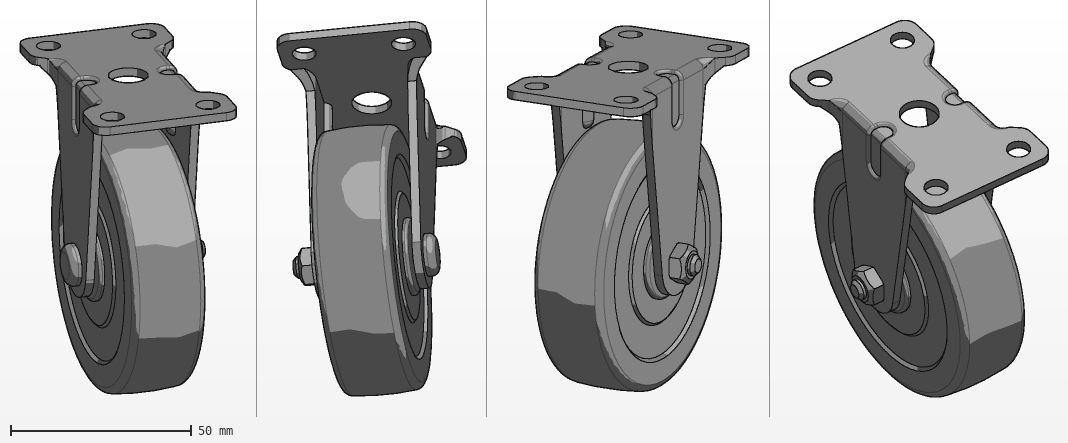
import cadquery as cq
import math


CLEAR = 0.9
RIM_GAP = 0.1

SHEET = 2.5
PLATE_LENGTH = 70.4
PLATE_WIDTH = 41.95
PLATE_CORNER_RADIUS = 4.0
HOLE_SPACING_X = 56.0
HOLE_SPACING_Y = 28.0
MOUNT_HOLE_DIAMETER = 6.6
CENTRE_HOLE_DIAMETER = 11
FORK_WIDTH = 30.9
BEND_LENGTH = 30.3
BEND_FADE_END = 0.02
BEND_FADE_STEPS = 5
WAIST_ANGLE = 50
WAIST_RADIUS = 5.0
LEG_END_RADIUS = 9.2
SHOULDER_HALF_WIDTH = 16.5
SHOULDER_DROP = 7.4
FLARE_HALF_WIDTH = 20.6

BEAD_DEPTH = 1.0
BEAD_RADIUS = 2.7
BEAD_RIM_RADIUS = 0.9
BEAD_LEG_CENTRE = 12.4
BEAD_PLATE_CENTRE = 3.3
RIB_HEIGHT = 1.8
RIB_RADIUS = 2.6
RIB_CENTRE = 17.0

TOTAL_HEIGHT = 92
WHEEL_DIAMETER = 75.0
TREAD_WIDTH = 21.3
CROWN_DROP = 0.7
TREAD_EDGE_RADIUS = 2.0
RECESS_RADIUS = 28.6
RECESS_DEPTH = 0.9
HUB_RADIUS = 18.4
HUB_RISE = 0.7
BOSS_RADIUS = 10.9
BOSS_WIDTH = 24.0
BOSS_EDGE_RADIUS = 0.8

SHANK_DIAMETER = 6.6
HEAD_DIAMETER = 12
HEAD_HEIGHT = 3.1
HEAD_EDGE_RADIUS = 2.1
NUT_FLATS = 10.1
NUT_HEIGHT = 4.6
NUT_TOP_RADIUS = 4.0
NUT_TOP_CHAMFER = 1.3
NUT_BASE_CHAMFER = 0.3
THREAD_DIAMETER = 6.1
THREAD_CHAMFER = 1.0
AXLE_END = 21.9

WHEEL_RADIUS = WHEEL_DIAMETER / 2
AXLE_Z = WHEEL_RADIUS - TOTAL_HEIGHT
FORK_FACE = FORK_WIDTH / 2
FORK_INNER_FACE = FORK_FACE - SHEET
BEND_END = BEND_LENGTH / 2
BEND_RADIUS = SHEET


def axial_cylinder(diameter, start, end):
    """Cylinder on the wheel axis between two Y positions."""
    return cq.Workplane("XZ", origin=(0, end, AXLE_Z)).circle(diameter / 2).extrude(end - start)


def revolved(outline):
    """Turn an outline of (radius, Y) coordinates about the wheel axis."""
    return outline.close().revolve(360, (0, 0, 0), (0, 1, 0)).translate((0, 0, AXLE_Z))


def plate_blank(thickness):
    """Waisted plate outline with rounded corners, extruded down from Z = 0."""
    half_length = PLATE_LENGTH / 2
    half_width = PLATE_WIDTH / 2
    waist_x = BEND_END + WAIST_RADIUS * math.tan(math.radians(WAIST_ANGLE / 2))
    flap_x = waist_x + (half_width - FORK_FACE) / math.tan(math.radians(WAIST_ANGLE))
    upper_right = [(waist_x, FORK_FACE), (flap_x, half_width), (half_length, half_width)]
    upper_left = [(-x, y) for x, y in upper_right[::-1]]
    upper = upper_left + upper_right
    outline = upper + [(x, -y) for x, y in upper[::-1]]
    blank = cq.Workplane("XY").polyline(outline).close().extrude(-thickness)

    upright = cq.selectors.ParallelDirSelector(cq.Vector(0, 0, 1))
    waist_zone = cq.selectors.BoxSelector(
        (-waist_x - CLEAR, -FORK_FACE - CLEAR, -thickness),
        (waist_x + CLEAR, FORK_FACE + CLEAR, 0),
    )
    blank = blank.edges(upright - waist_zone).fillet(PLATE_CORNER_RADIUS)
    return blank.edges(upright & waist_zone).fillet(WAIST_RADIUS)


def legs():
    """Two tapered legs that hang from the waist of the plate and flare out along its edge."""
    leg_height = LEG_END_RADIUS - AXLE_Z
    blank = plate_blank(leg_height)
    core = blank.faces(">Z").wires().toPending().offset2D(-SHEET).extrude(-leg_height, combine=False)
    skirt = blank.cut(core)

    shoulder_rise = -SHOULDER_DROP - AXLE_Z
    tangent_angle = math.atan2(shoulder_rise, SHOULDER_HALF_WIDTH) - math.acos(
        LEG_END_RADIUS / math.hypot(SHOULDER_HALF_WIDTH, shoulder_rise)
    )
    tangent_x = LEG_END_RADIUS * math.cos(tangent_angle)
    tangent_z = AXLE_Z + LEG_END_RADIUS * math.sin(tangent_angle)
    profile = (
        cq.Workplane("XZ", origin=(0, PLATE_WIDTH / 2, 0))
        .moveTo(-FLARE_HALF_WIDTH, 0)
        .lineTo(-FLARE_HALF_WIDTH, -SHEET)
        .lineTo(-SHOULDER_HALF_WIDTH, -SHOULDER_DROP)
        .lineTo(-tangent_x, tangent_z)
        .threePointArc((0, AXLE_Z - LEG_END_RADIUS), (tangent_x, tangent_z))
        .lineTo(SHOULDER_HALF_WIDTH, -SHOULDER_DROP)
        .lineTo(FLARE_HALF_WIDTH, -SHEET)
        .lineTo(FLARE_HALF_WIDTH, 0)
        .close()
        .extrude(PLATE_WIDTH)
    )
    return skirt.intersect(profile)


def bend_section(plane, radius):
    """Outline of the waste outside a rounded corner; local X points outward and local Y up."""
    middle = radius * (1 - math.sqrt(0.5))
    return (
        cq.Workplane(plane)
        .moveTo(-radius, 0)
        .threePointArc((-middle, -middle), (0, -radius))
        .lineTo(CLEAR, -radius)
        .lineTo(CLEAR, CLEAR)
        .lineTo(-radius, CLEAR)
        .close()
    )


def straight_bend_waste():
    """Waste that rounds the +Y bend along the straight waist."""
    start = cq.Plane((-BEND_END, FORK_FACE, 0), xDir=(0, 1, 0), normal=(1, 0, 0))
    return bend_section(start, BEND_RADIUS).extrude(BEND_LENGTH)


def corner_bend_waste():
    """Waste that continues the +Y bend around the +X waist corner and fades out there."""
    last_angle = math.radians(WAIST_ANGLE)
    wires = []
    for step in range(BEND_FADE_STEPS + 1):
        share = step / BEND_FADE_STEPS
        angle = last_angle * share
        fade = max(math.cos(math.pi / 2 * share), BEND_FADE_END)
        inward = (math.sin(angle), -math.cos(angle))
        origin = (BEND_END + WAIST_RADIUS * inward[0], FORK_FACE + WAIST_RADIUS * (1 + inward[1]), 0)
        along = (math.cos(angle), math.sin(angle), 0)
        plane = cq.Plane(origin, xDir=(-inward[0], -inward[1], 0), normal=along)
        wires.append(bend_section(plane, BEND_RADIUS * fade).wires().val())
    return cq.Workplane(cq.Solid.makeLoft(wires))


def bead_groove():
    """Groove pressed into the outside of the +Y bend, at an even depth below plate and leg."""
    plate_end = FORK_FACE - BEAD_PLATE_CENTRE
    leg_floor = FORK_FACE - BEAD_DEPTH
    outside = FORK_FACE + CLEAR
    bend_centre = FORK_FACE - BEND_RADIUS
    middle = (BEND_RADIUS - BEAD_DEPTH) * math.sqrt(0.5)
    groove = (
        cq.Workplane("YZ", origin=(-BEAD_RADIUS, 0, 0))
        .moveTo(plate_end, -BEAD_DEPTH)
        .lineTo(bend_centre, -BEAD_DEPTH)
        .threePointArc((bend_centre + middle, middle - BEND_RADIUS), (leg_floor, -BEND_RADIUS))
        .lineTo(leg_floor, -BEAD_LEG_CENTRE)
        .lineTo(outside, -BEAD_LEG_CENTRE)
        .lineTo(outside, CLEAR)
        .lineTo(plate_end, CLEAR)
        .close()
        .extrude(2 * BEAD_RADIUS)
    )
    end_depth = BEAD_DEPTH + CLEAR
    plate_cap = cq.Workplane("XY", origin=(0, plate_end, -BEAD_DEPTH)).circle(BEAD_RADIUS).extrude(end_depth)
    leg_cap = cq.Workplane("XZ", origin=(0, outside, -BEAD_LEG_CENTRE)).circle(BEAD_RADIUS).extrude(end_depth)
    return groove.union(plate_cap).union(leg_cap)


def bead_rim():
    """Selector for the edges where the +Y bead groove meets the outer surface of the sheet."""
    reach = BEAD_RADIUS + RIM_GAP
    on_leg = cq.selectors.BoxSelector(
        (-reach, FORK_FACE - RIM_GAP, -BEAD_LEG_CENTRE - reach),
        (reach, FORK_FACE + RIM_GAP, -BEND_RADIUS - RIM_GAP),
    )
    on_plate = cq.selectors.BoxSelector(
        (-reach, FORK_FACE - BEAD_PLATE_CENTRE - reach, -RIM_GAP),
        (reach, FORK_FACE - BEND_RADIUS - RIM_GAP, RIM_GAP),
    )
    bend_middle = BEND_RADIUS * (1 - 2 / math.pi)
    on_bend = cq.selectors.BoxSelector(
        (-reach, FORK_FACE - bend_middle - RIM_GAP, -bend_middle - RIM_GAP),
        (reach, FORK_FACE - bend_middle + RIM_GAP, -bend_middle + RIM_GAP),
    )
    return on_leg + on_plate + on_bend


def bead_rib():
    """Raised back of the bead inside the +Y leg: part of a rod that ends in a ball."""
    axis_y = FORK_INNER_FACE - RIB_HEIGHT + RIB_RADIUS
    rod = cq.Workplane("XY", origin=(0, axis_y, -RIB_CENTRE)).circle(RIB_RADIUS).extrude(RIB_CENTRE - SHEET)
    ball = cq.Workplane("XY", origin=(0, axis_y, -RIB_CENTRE)).sphere(RIB_RADIUS)
    proud_side = cq.Workplane("XY").box(4 * RIB_RADIUS, FORK_WIDTH - SHEET, 2 * TOTAL_HEIGHT)
    return rod.union(ball).intersect(proud_side)


def bent_sheet():
    """Plate and legs with rounded bends, mirrored from one quarter."""
    quarter_space = cq.Workplane("XY").box(
        PLATE_LENGTH, PLATE_WIDTH, 2 * TOTAL_HEIGHT, centered=(False, False, True)
    )
    quarter = plate_blank(SHEET).union(legs()).intersect(quarter_space)
    quarter = quarter.cut(straight_bend_waste()).cut(corner_bend_waste())
    half = quarter.union(quarter.mirror("YZ"))
    return half.union(half.mirror("XZ"))


def make_bracket():
    """Bent sheet with stiffening beads, mounting holes and axle bores."""
    bracket = bent_sheet()
    groove = bead_groove()
    bracket = bracket.cut(groove).cut(groove.mirror("XZ"))
    for _ in range(2):
        bracket = bracket.edges(bead_rim()).fillet(BEAD_RIM_RADIUS)
        bracket = bracket.rotate((0, 0, 0), (0, 0, 1), 180)
    rib = bead_rib()
    bracket = bracket.union(rib).union(rib.mirror("XZ"))
    mount_holes = (
        cq.Workplane("XY")
        .rarray(HOLE_SPACING_X, HOLE_SPACING_Y, 2, 2)
        .circle(MOUNT_HOLE_DIAMETER / 2)
        .extrude(-SHEET)
    )
    centre_hole = cq.Workplane("XY").circle(CENTRE_HOLE_DIAMETER / 2).extrude(-SHEET)
    axle_bore = axial_cylinder(SHANK_DIAMETER, -FORK_FACE, FORK_FACE)
    return bracket.cut(mount_holes).cut(centre_hole).cut(axle_bore)


def make_wheel():
    """Crowned wheel with recessed sides, raised hubs, round bosses and an axle bore."""
    side = TREAD_WIDTH / 2
    side_radius = WHEEL_RADIUS - CROWN_DROP
    tread = revolved(
        cq.Workplane("XY")
        .moveTo(0, -side)
        .lineTo(side_radius, -side)
        .threePointArc((WHEEL_RADIUS, 0), (side_radius, side))
        .lineTo(0, side)
    )
    wheel = tread.faces("<Y or >Y").edges().fillet(TREAD_EDGE_RADIUS)

    web = side - RECESS_DEPTH
    recess = revolved(
        cq.Workplane("XY")
        .moveTo(0, side)
        .lineTo(RECESS_RADIUS, side)
        .lineTo(RECESS_RADIUS - RECESS_DEPTH, web)
        .lineTo(HUB_RADIUS, web)
        .lineTo(HUB_RADIUS - HUB_RISE, web + HUB_RISE)
        .lineTo(0, web + HUB_RISE)
    )
    wheel = wheel.cut(recess).cut(recess.mirror("XZ"))

    boss = axial_cylinder(2 * BOSS_RADIUS, -BOSS_WIDTH / 2, BOSS_WIDTH / 2)
    boss = boss.faces("<Y or >Y").edges().fillet(BOSS_EDGE_RADIUS)
    axle_bore = axial_cylinder(SHANK_DIAMETER, -BOSS_WIDTH / 2, BOSS_WIDTH / 2)
    return wheel.union(boss).cut(axle_bore)


def nut():
    """Hexagonal nut with two corners up and down, turned conical at both ends."""
    corner_radius = NUT_FLATS / math.sqrt(3)
    base = FORK_FACE
    top = FORK_FACE + NUT_HEIGHT
    hexagon = (
        cq.Workplane("XZ", origin=(0, top, AXLE_Z))
        .transformed(rotate=(0, 0, 90))
        .polygon(6, 2 * corner_radius)
        .extrude(NUT_HEIGHT)
    )
    turned = revolved(
        cq.Workplane("XY")
        .moveTo(0, base)
        .lineTo(corner_radius - NUT_BASE_CHAMFER, base)
        .lineTo(corner_radius, base + NUT_BASE_CHAMFER)
        .lineTo(corner_radius, top - NUT_TOP_CHAMFER)
        .lineTo(NUT_TOP_RADIUS, top)
        .lineTo(0, top)
    )
    return hexagon.intersect(turned)


def make_axle():
    """Bolt with a domed head on the -Y side and its nut on the +Y side, as one solid."""
    head = axial_cylinder(HEAD_DIAMETER, -FORK_FACE - HEAD_HEIGHT, -FORK_FACE)
    head = head.faces("<Y").edges().fillet(HEAD_EDGE_RADIUS)

    shank = axial_cylinder(SHANK_DIAMETER, -FORK_FACE, FORK_FACE)
    thread = axial_cylinder(THREAD_DIAMETER, FORK_FACE, AXLE_END)
    thread = thread.faces(">Y").chamfer(THREAD_CHAMFER)
    return head.union(shank).union(thread).union(nut())


bracket_body = make_bracket()
wheel_body = make_wheel()
axle_body = make_axle()
result = cq.Compound.makeCompound([bracket_body.val(), wheel_body.val(), axle_body.val()])